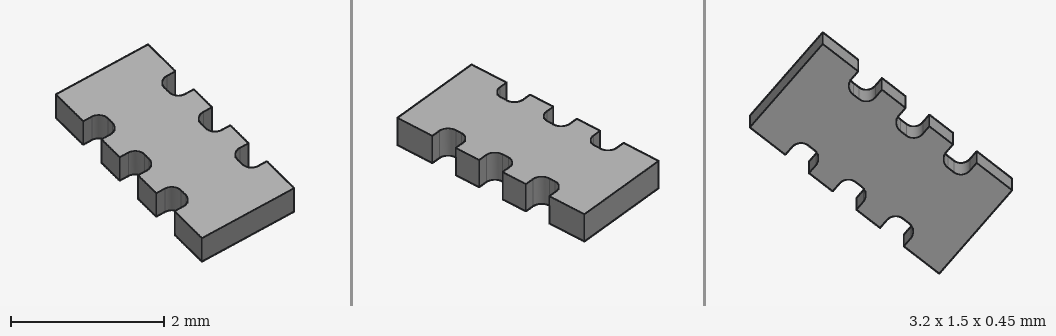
import cadquery as cq

LENGTH = 3.2
WIDTH = 1.5
HEIGHT = 0.45

NOTCH_COUNT = 3
NOTCH_PITCH = 0.8
NOTCH_WIDTH = 0.4
NOTCH_DEPTH = 0.29
NOTCH_CORNER_RADIUS = 0.15


def make_body():
    """Plain rectangular block."""
    return cq.Workplane("XY").box(LENGTH, WIDTH, HEIGHT, centered=(True, True, False))


def make_notch(x, side):
    """Full-height notch cutter at x on the +Y (side = 1) or -Y (side = -1) edge."""
    return (
        cq.Workplane("XY")
        .center(x, side * WIDTH / 2)
        .rect(NOTCH_WIDTH, 2 * NOTCH_DEPTH)
        .extrude(HEIGHT)
        .edges("|Z")
        .fillet(NOTCH_CORNER_RADIUS)
    )


def cut_notches(body):
    """Cut the evenly spaced notches into both long sides."""
    for index in range(NOTCH_COUNT):
        x = (index - (NOTCH_COUNT - 1) / 2) * NOTCH_PITCH
        for side in (-1, 1):
            body = body.cut(make_notch(x, side))
    return body


result = cut_notches(make_body())